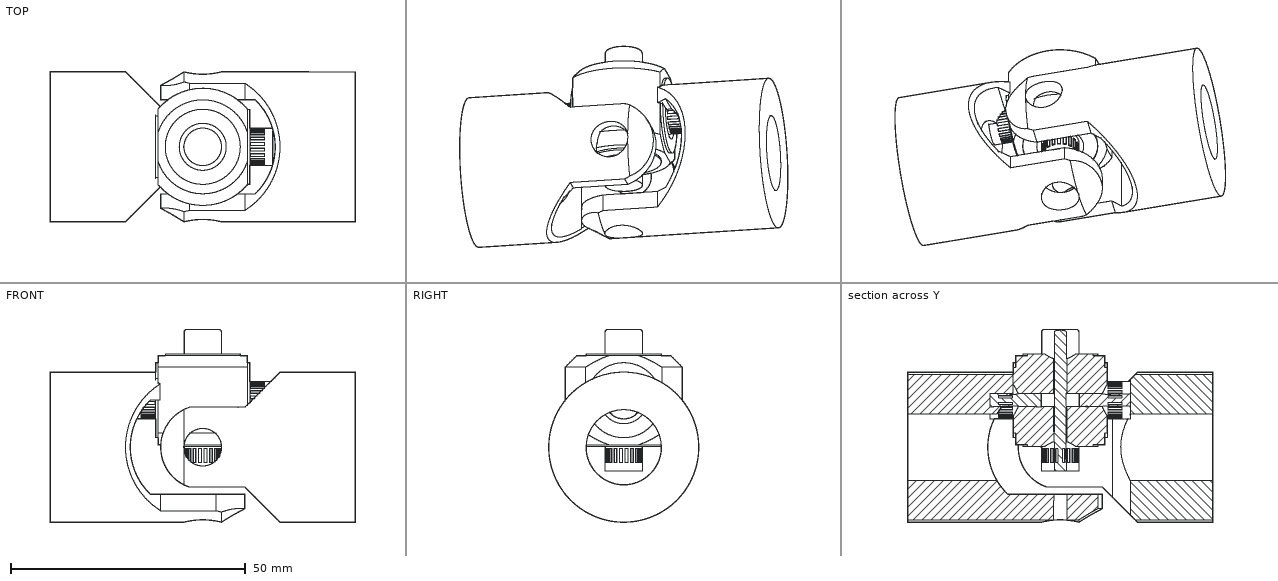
import cadquery as cq
import math


joint_length = 65.0
yoke_diameter = 32.0
bore_diameter = 16.0
slot_width = 20.0
slot_floor_radius = 13.9
slot_floor_offset = 1.5
arm_width = 17.0
arm_tip_radius = 9.0
arm_bevel_length = 5.0
arm_bevel_angle = 30.0

pin_diameter = 8.0
long_pin_length = 30.15
pin_tip_fillet = 0.6
short_pin_reach = 14.95
short_pin_gap = 0.05
knurl_length = 2.9
knurl_end_land = 1.8
groove_count = 20
groove_depth = 0.2

block_diameter = 24.95
block_width = 19.0
block_chamfer = 2.5
boss_diameter = 16.0
side_boss_height = 0.5
end_boss_height = 0.4
countersink_diameter = 10.0

yoke_radius = yoke_diameter / 2
pin_radius = pin_diameter / 2
block_half = block_width / 2
side_boss_face = block_half + side_boss_height
end_boss_face = block_half + end_boss_height
block_centre = cq.Vector(0, 0, slot_width / 2)
X_AXIS = cq.Vector(1, 0, 0)
Z_AXIS = cq.Vector(0, 0, 1)
BOSS_FACES = ((X_AXIS, side_boss_face), (Z_AXIS, end_boss_face))


def rod(diameter, start, end, axis):
    """Cylinder along an axis through the origin, between two positions on that axis."""
    return cq.Workplane(cq.Solid.makeCylinder(diameter / 2, end - start, axis * start, axis))


def make_turned_body():
    """Bored cylinder on the -X side, with bevelled ends on what become the arms."""
    bevel_start = arm_tip_radius - arm_bevel_length
    bevel_drop = arm_bevel_length * math.tan(math.radians(arm_bevel_angle))
    hub_end = -joint_length / 2
    profile = [
        (hub_end, bore_diameter / 2),
        (hub_end, yoke_radius),
        (bevel_start, yoke_radius),
        (arm_tip_radius, yoke_radius - bevel_drop),
        (arm_tip_radius, bore_diameter / 2),
    ]
    return cq.Workplane("XY").polyline(profile).close().revolve(360, (0, 0, 0), (1, 0, 0))


def make_arm_outline():
    """Outline seen along Z: full-width hub, 45 degree shoulders and a round-ended arm."""
    half_arm = arm_width / 2
    shoulder_end = -arm_tip_radius
    shoulder_start = shoulder_end - (yoke_radius - half_arm)
    tip_start = math.sqrt(arm_tip_radius**2 - half_arm**2)
    hub_end = -joint_length / 2
    return (
        cq.Workplane("XY", origin=(0, 0, -yoke_radius))
        .moveTo(hub_end, -yoke_radius)
        .lineTo(shoulder_start, -yoke_radius)
        .lineTo(shoulder_end, -half_arm)
        .lineTo(tip_start, -half_arm)
        .threePointArc((arm_tip_radius, 0), (tip_start, half_arm))
        .lineTo(shoulder_end, half_arm)
        .lineTo(shoulder_start, yoke_radius)
        .lineTo(hub_end, yoke_radius)
        .close()
        .extrude(yoke_diameter)
    )


def make_slot():
    """Round-bottomed slot across Y that separates the arms."""
    floor_edge = -slot_floor_offset - math.sqrt(slot_floor_radius**2 - (slot_width / 2) ** 2)
    return (
        cq.Workplane("XZ", origin=(0, yoke_radius, 0))
        .moveTo(arm_tip_radius, slot_width / 2)
        .lineTo(floor_edge, slot_width / 2)
        .threePointArc((-slot_floor_offset - slot_floor_radius, 0), (floor_edge, -slot_width / 2))
        .lineTo(arm_tip_radius, -slot_width / 2)
        .close()
        .extrude(yoke_diameter)
    )


def make_yoke():
    """Yoke with its hub at -X and its arms above and below the axis."""
    pivot_hole = rod(pin_diameter, -yoke_radius, yoke_radius, Z_AXIS)
    return make_turned_body().intersect(make_arm_outline()).cut(make_slot()).cut(pivot_hole)


def make_block_blank():
    """Chamfered round block with flats on +-X and a low boss on each of its four faces."""
    blank = rod(block_diameter, -block_half, block_half, Z_AXIS).faces("|Z").chamfer(block_chamfer)
    blank = blank.intersect(cq.Workplane("XY").box(block_width, block_diameter, block_width))
    for axis, boss_face in BOSS_FACES:
        blank = blank.union(rod(boss_diameter, -boss_face, boss_face, axis))
    return blank.translate(block_centre)


def make_block():
    """Block drilled through on both pin axes, with each hole end countersunk at 45 degrees."""
    block = make_block_blank()
    sink_radius = countersink_diameter / 2
    sink_depth = sink_radius - pin_radius
    for axis, boss_face in BOSS_FACES:
        block = block.cut(rod(pin_diameter, -boss_face, boss_face, axis).translate(block_centre))
        for direction in (axis, -axis):
            mouth = block_centre + direction * boss_face
            sink = cq.Solid.makeCone(sink_radius, pin_radius, sink_depth, mouth, -direction)
            block = block.cut(cq.Workplane(sink))
    return block


def knurl(pin, end):
    """Cut square lengthwise grooves into a Z pin, near its plain end at z = end.

    Grooves and ridges are equally wide, and a ridge lies on the X axis.
    """
    pitch_angle = 360 / groove_count
    groove_width = math.pi * pin_diameter / groove_count / 2
    start = cq.Vector(pin_radius - groove_depth, -groove_width / 2, end + knurl_end_land)
    groove = cq.Solid.makeBox(2 * groove_depth, groove_width, knurl_length, start)
    grooves = []
    for index in range(groove_count):
        angle = pitch_angle * (index + 0.5)
        grooves.append(groove.rotate(cq.Vector(), Z_AXIS, angle))
    return cq.Workplane(pin.val().cut(*grooves))


def make_long_pin():
    """Vertical pin right through the block, knurled near its lower end."""
    half_length = long_pin_length / 2
    pin = rod(pin_diameter, -half_length, half_length, Z_AXIS).faces(">Z").edges().fillet(pin_tip_fillet)
    return knurl(pin, -half_length).translate(block_centre)


def make_short_pin(side):
    """Pin along X on the given side (+1 or -1), knurled near its outer end."""
    pin = rod(pin_diameter, -short_pin_reach, -pin_radius - short_pin_gap, Z_AXIS)
    pin = knurl(pin, -short_pin_reach)
    return pin.rotate((0, 0, 0), (0, 1, 0), -90 * side).translate(block_centre)


def fit_yoke(yoke):
    """Recess a yoke where the block and the pins pass through it."""
    fitted = yoke.cut(make_block_blank())
    pin_channel = rod(pin_diameter, -short_pin_reach, short_pin_reach, X_AXIS).translate(block_centre)
    return fitted.cut(pin_channel)


left_yoke = fit_yoke(make_yoke())
right_yoke = fit_yoke(
    make_yoke().rotate((0, 0, 0), (0, 0, 1), 180).rotate((0, 0, 0), (1, 0, 0), 90)
)
block = make_block()
long_pin = make_long_pin()
short_pins = [make_short_pin(side) for side in (1, -1)]

result = cq.Compound.makeCompound(
    [
        left_yoke.val(),
        right_yoke.val(),
        block.val(),
        long_pin.val(),
        *[pin.val() for pin in short_pins],
    ]
)